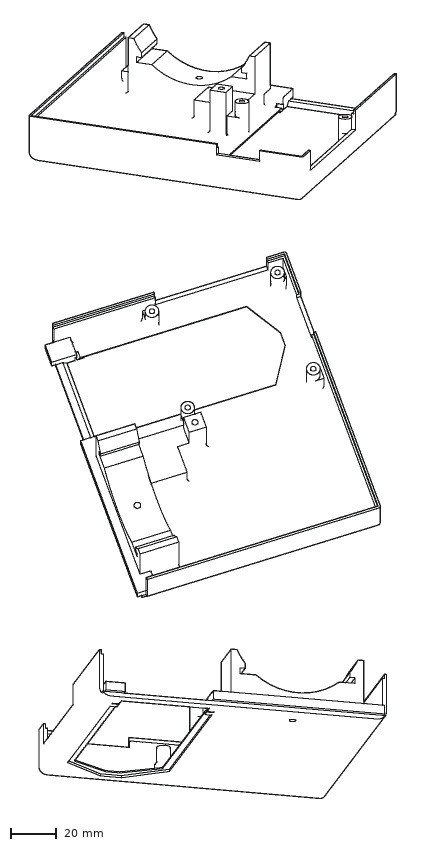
import cadquery as cq
length = 130.0
wall = 2.0
floor = 1.5
wall_top = 22.0
wall_back = 108.0
floor_back = 110.1
bottom_radius = 5.0
floor_fillet = 1.0
overlap = 0.4
lip = wall / 2
lip_depth = 2.0
right_inner = length - wall

tab_back = 112.0
tab_top = 6.0
left_tab_front = 103.0
tab_front = 100.4
tab_fillet = 1.0

rail_top = 2.0
rail_ridge = 106.9
rail_front = rail_ridge - rail_top

opening_center = 99.3
opening_width = 39.8
opening_shoulder = 21.8
opening_tip = 11.8
opening_tip_width = 6.5
slot_length = 46.0
slot_front = 98.8
slot_back = 101.1
slot_top = floor + 1.0

seat_margin = (slot_length - opening_width) / 2
seat_depth = 1.0
seat_back = 97.0

cradle_top = 27.5
cradle_center = 40.3
cradle_width = 60.0
cradle_depth = 18.0
cradle_left = cradle_center - cradle_width / 2
cradle_right = cradle_center + cradle_width / 2
cradle_front = wall_back - cradle_depth
cradle_radius = cradle_width / 2
cradle_axis_height = 39.9
shelf_height = 16.5
hook_gap = 47.3
undercut_width = 52.0
undercut_height = 2.6
cradle_hole = 2.9

step_top = 10.0
step_left = 48.4
step_front = 73.3
pillar_left = 61.4
pillar_width = 7.5
pillar_front = 60.0
pillar_depth = 7.9
pillar_top = 21.5
pillar_hole = 2.6
pillar_hole_depth = 10.0

boss_diameter = 6.0
boss_hole = 2.3
boss_top = 16.8
boss_left = 74.9
boss_right = 123.8
boss_front = 6.0
boss_back = 64.1
boss_radius = boss_diameter / 2
web_length = 9.1

front_cutout_left = 89.2
front_cutout_width = 20.3
front_cutout_bottom = 17.0
side_cutout_front = boss_front + boss_radius
side_cutout_back = boss_back - boss_radius
side_cutout_bottom = 12.6


def box(x0, x1, y0, y1, z0, z1):
    """Box between two opposite corners."""
    return cq.Workplane("XY").box(x1 - x0, y1 - y0, z1 - z0, centered=False).translate((x0, y0, z0))


def block(x0, x1, y0, y1, top):
    """Box that stands on the floor and reaches slightly into it."""
    return box(x0, x1, y0, y1, floor - overlap, top)


def make_shell():
    across = (
        box(0, length, 0, floor_back, 0, wall_top)
        .edges("|Y and <Z")
        .fillet(bottom_radius)
    )
    along = (
        box(0, length, 0, floor_back, 0, wall_top)
        .edges("|X and <Z and <Y")
        .fillet(bottom_radius)
    )
    cavity = box(wall, right_inner, wall, wall_back, floor, wall_top)
    rabbet = box(lip, length - lip, lip, tab_back, wall_top - lip_depth, wall_top)
    behind_walls = box(0, length, wall_back, tab_back, rail_top, wall_top)
    return across.intersect(along).cut(cavity).cut(rabbet).cut(behind_walls)


def make_back_blocks():
    left = block(wall, cradle_left, left_tab_front, wall_back, tab_top)
    right = block(cradle_right, right_inner, tab_front, wall_back, tab_top)
    right = right.faces(">Z").edges("<Y").fillet(tab_fillet)
    tab = box(wall, right_inner, wall_back - wall, tab_back, rail_top, tab_top)
    return left.union(right).union(tab)


def make_cradle():
    body = block(cradle_left, cradle_right, cradle_front, wall_back, cradle_top)
    trough = (
        cq.Workplane("XZ", origin=(cradle_center, wall_back, cradle_axis_height))
        .circle(cradle_radius)
        .extrude(cradle_depth)
    )
    for width, top in ((hook_gap, cradle_top), (undercut_width, shelf_height + undercut_height)):
        half = width / 2
        body = body.cut(
            box(cradle_center - half, cradle_center + half, cradle_front, wall_back, shelf_height, top)
        )
    return body.cut(trough)


def make_step_block():
    upper = block(step_left, cradle_right, step_front, cradle_front, step_top)
    lower = block(pillar_left, cradle_right, boss_back + boss_radius, step_front, step_top)
    pillar = block(
        pillar_left, pillar_left + pillar_width, pillar_front, pillar_front + pillar_depth, pillar_top
    )
    return upper.union(lower).union(pillar)


def make_boss(x, y, web_angle):
    """Screw post with a low web that runs from it at the given angle."""
    post = (
        cq.Workplane("XY", origin=(0, 0, floor - overlap))
        .circle(boss_radius)
        .extrude(boss_top - floor + overlap)
    )
    web = block(0, web_length, -boss_radius, boss_radius, step_top)
    return post.union(web.rotate((0, 0, 0), (0, 0, 1), web_angle)).translate((x, y, 0))


def pointed_plate(margin, back, height):
    """Plate with the pointed outline of the opening, grown sideways and forwards by a margin."""
    half = opening_width / 2 + margin
    half_tip = opening_tip_width / 2 + margin / 2
    outline = [
        (-half, back),
        (-half, opening_shoulder),
        (-half_tip, opening_tip - margin),
        (half_tip, opening_tip - margin),
        (half, opening_shoulder),
        (half, back),
    ]
    return (
        cq.Workplane("XY", origin=(opening_center, 0, 0))
        .polyline(outline)
        .close()
        .extrude(height)
    )


def crosswise(outline, width):
    """Prism along X, centered on the opening, from an outline of (Y, Z) points."""
    return (
        cq.Workplane("YZ", origin=(opening_center - width / 2, 0, 0))
        .polyline(outline)
        .close()
        .extrude(width)
    )


def make_opening():
    """Opening whose back end slopes up to the ridge of the rail at 45 degrees."""
    back_end = [
        (slot_front, 0),
        (rail_front, 0),
        (rail_ridge, rail_top),
        (tab_back, rail_top),
        (tab_back, cradle_top),
        (slot_front, cradle_top),
    ]
    return pointed_plate(0, rail_front, cradle_top).union(crosswise(back_end, opening_width))


def make_slot():
    """Slot under the blocks whose front side slopes down through the floor at 45 degrees."""
    outline = [
        (slot_front + floor, 0),
        (slot_front, floor),
        (slot_front, slot_top),
        (slot_back, slot_top),
        (slot_back, 0),
    ]
    return crosswise(outline, slot_length)


def drill(x, y, diameter, bottom, top):
    return (
        cq.Workplane("XY", origin=(x, y, bottom))
        .circle(diameter / 2)
        .extrude(top - bottom)
    )


bosses = [
    (boss_left, boss_front, -90),
    (boss_left, boss_back, 180),
    (boss_right, boss_front, -45),
    (boss_right, boss_back, 0),
]

fittings = make_back_blocks().union(make_cradle()).union(make_step_block())
for x, y, web_angle in bosses:
    fittings = fittings.union(make_boss(x, y, web_angle))
interior = box(wall, right_inner, wall, tab_back, floor - overlap, cradle_top)
result = make_shell().union(fittings.intersect(interior))

floor_corners = cq.selectors.BoxSelector(
    (0, 0, floor - overlap / 2), (length, wall_back, floor + overlap / 2)
)
result = result.edges(floor_corners).fillet(floor_fillet)

result = result.cut(make_opening()).cut(make_slot())
result = result.cut(pointed_plate(seat_margin, seat_back, seat_depth))
for x, y, _ in bosses:
    result = result.cut(drill(x, y, boss_hole, floor, boss_top))
result = result.cut(
    drill(cradle_center, (cradle_front + wall_back) / 2, cradle_hole, 0, cradle_top)
)
result = result.cut(
    drill(
        pillar_left + pillar_width / 2,
        pillar_front + pillar_depth / 2,
        pillar_hole,
        pillar_top - pillar_hole_depth,
        pillar_top,
    )
)
result = result.cut(
    box(
        front_cutout_left,
        front_cutout_left + front_cutout_width,
        0,
        wall,
        front_cutout_bottom,
        wall_top,
    )
)
result = result.cut(
    box(
        right_inner,
        length,
        side_cutout_front,
        side_cutout_back,
        side_cutout_bottom,
        wall_top,
    )
)